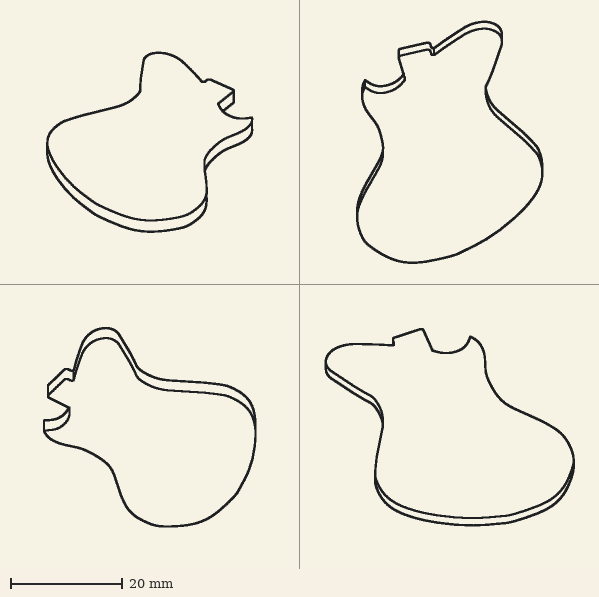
import cadquery as cq

width = 35.04
length = 44.15
thickness = 2.54

heel_left = 13.35
heel_right = 19.24
heel_top = 42.4
heel_corner_radius = 0.5
notch_floor = 40.98
notch_radius = 0.4

left_horn_top = (4.15, length)
left_horn_side = (0.35, 41.2)
left_waist = (6.1, 29.35)
left_bout = (0, 14.75)
bottom = (22.7, 0)
right_bout = (width, 9.8)
right_waist = (26.36, 28.1)
right_horn_side = (27.76, 34.6)
cutaway_floor = (23.2, 35.7)

cutaway_start = (heel_right, 37.4)
right_horn_tip = (26.6, 37.7)
notch_end = (heel_left - notch_radius, notch_floor)

LEFT = (-1, 0)
RIGHT = (1, 0)
UP = (0, 1)
DOWN = (0, -1)
ALONG_LEFT_HORN = (-0.88, 0.47)
OFF_RIGHT_TIP = (-0.62, -0.78)
INTO_HEEL = (-0.75, 0.66)
UP_TO_RIGHT_TIP = (-0.75, 0.85)


def add_curve(outline, points, start_direction, end_direction):
    """Continue the outline through the points, with the given end directions."""
    return outline.spline(points, tangents=[start_direction, end_direction], includeCurrent=True)


def add_left_side(outline):
    """Left horn, waist and lower bout, ending at the bottom of the body."""
    outline = add_curve(outline, [(8.5, 42.95), left_horn_top], ALONG_LEFT_HORN, LEFT)
    outline = add_curve(outline, [(1.2, 43.1), left_horn_side], LEFT, DOWN)
    outline = add_curve(outline, [(1.0, 39.35), (2.1, 37.55), (4.8, 33.35), left_waist], DOWN, DOWN)
    outline = add_curve(outline, [(4.68, 24.85), (2.1, 20.6), (0.6, 17.6), left_bout], DOWN, DOWN)
    return add_curve(outline, [(2.6, 8.55), (9.2, 3.8), (14.9, 1.35), (18.3, 0.42), bottom], DOWN, RIGHT)


def add_right_side(outline):
    """Lower bout, waist and outer edge of the right horn, ending at its tip."""
    outline = add_curve(outline, [(30.6, 1.95), (33.95, 5.6), right_bout], RIGHT, UP)
    outline = add_curve(outline, [(33.2, 15.2), (29.1, 20.1), right_waist], UP, UP)
    outline = add_curve(outline, [(27.1, 31.5), right_horn_side], UP, UP)
    return add_curve(outline, [right_horn_tip], UP, UP_TO_RIGHT_TIP)


def add_cutaway(outline):
    """Scooped cutaway between the right horn and the neck heel."""
    outline = add_curve(outline, [cutaway_floor], OFF_RIGHT_TIP, LEFT)
    return add_curve(outline, [cutaway_start], LEFT, INTO_HEEL)


def add_heel(outline):
    """Round-cornered neck heel and the filleted notch beside the left horn."""
    radius = heel_corner_radius
    return (
        outline.lineTo(heel_right, heel_top - radius)
        .tangentArcPoint((heel_right - radius, heel_top), relative=False)
        .lineTo(heel_left + radius, heel_top)
        .tangentArcPoint((heel_left, heel_top - radius), relative=False)
        .lineTo(heel_left, notch_floor + notch_radius)
        .radiusArc(notch_end, notch_radius)
    )


outline = cq.Workplane("XY").moveTo(*notch_end)
outline = add_left_side(outline)
outline = add_right_side(outline)
outline = add_cutaway(outline)
outline = add_heel(outline)

result = outline.close().extrude(thickness)